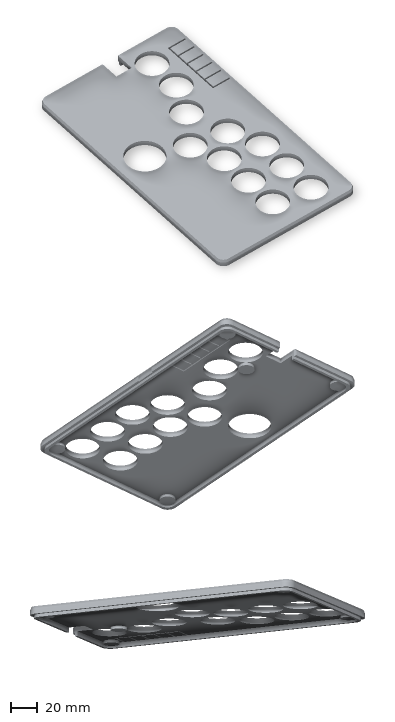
import cadquery as cq

length = 219.8
width = 128.8
height = 8.1
corner_radius = 7.0
plate_thickness = 4.5
plate_underside = height - plate_thickness

lip_height = 2.2
lip_inset = 2.2
lip_thickness = 2.2
rim_thickness = lip_inset + lip_thickness
edge_bevel_width = 0.9
edge_bevel_height = 2.2

button_diameter = 26.0
button_pitch = 29.0
thumb_diameter = 32.0
thumb_centre = (-13.8, -39.1)
left_row_start = (-86.5, 25.7)
upper_row_start = (30.8, 37.4)
lower_row_start = (25.0, 5.5)
single_buttons = [(-30.8, 14.0), (4.0, 25.7), (-1.8, -5.5)]

tab_count = 5
tab_pitch = 10.5
slot_width = 1.3
comb_left = -91.5
comb_bottom = 45.7
comb_top = 61.5

notch_depth = 17.4
notch_width = 14.5
notch_y = 3.7
notch_flare = 0.7

rear_opening_length = 15.8
rear_opening_x = -15.8

boss_diameter = 12.0
boss_bottom = 1.5
corner_boss_x = 98.9
corner_boss_y = 53.6
inner_boss_y = 12.7


def rounded_slab(inset, radius, bottom, top):
    """Rounded rectangle set in from the outer sides, between two heights."""
    return (
        cq.Workplane("XY", origin=(0, 0, bottom))
        .rect(length - 2 * inset, width - 2 * inset)
        .extrude(top - bottom)
        .edges("|Z")
        .fillet(radius)
    )


def block(x_min, x_max, y_min, y_max, bottom, top):
    """Box given by its limits along each axis."""
    return cq.Workplane("XY", origin=(x_min, y_min, bottom)).box(
        x_max - x_min, y_max - y_min, top - bottom, centered=False
    )


def row(start, count):
    """Button centres spaced evenly along X."""
    return [(start[0] + i * button_pitch, start[1]) for i in range(count)]


def shell():
    band = rounded_slab(0, corner_radius, lip_height, height)
    band = band.faces(">Z").chamfer(edge_bevel_height, edge_bevel_width)
    lip = rounded_slab(lip_inset, corner_radius, 0, lip_height)
    cavity = rounded_slab(rim_thickness, corner_radius, 0, plate_underside)
    return band.union(lip).cut(cavity)


def bosses():
    centres = [(x, y) for x in (-corner_boss_x, corner_boss_x) for y in (-corner_boss_y, corner_boss_y)]
    centres.append((left_row_start[0] + button_pitch / 2, inner_boss_y))
    return (
        cq.Workplane("XY", origin=(0, 0, boss_bottom))
        .pushPoints(centres)
        .circle(boss_diameter / 2)
        .extrude(plate_underside - boss_bottom)
    )


def button_holes():
    centres = row(left_row_start, 2) + row(upper_row_start, 3) + row(lower_row_start, 3) + single_buttons
    buttons = cq.Workplane("XY").pushPoints(centres).circle(button_diameter / 2).extrude(height)
    thumb = cq.Workplane("XY").center(*thumb_centre).circle(thumb_diameter / 2).extrude(height)
    return buttons.union(thumb)


def tab_slots():
    half = slot_width / 2
    comb_right = comb_left + tab_count * tab_pitch
    slots = block(
        comb_left - half, comb_right + half, comb_bottom - half, comb_bottom + half, plate_underside, height
    )
    for i in range(tab_count + 1):
        x = comb_left + i * tab_pitch
        slots = slots.union(block(x - half, x + half, comb_bottom, comb_top, plate_underside, height))
    return slots


def cable_notch():
    side = -length / 2
    half = notch_width / 2
    mouth_half = half + notch_flare
    outline = [
        (side, -mouth_half),
        (side + lip_inset, -half),
        (side + notch_depth, -half),
        (side + notch_depth, half),
        (side + lip_inset, half),
        (side, mouth_half),
    ]
    return cq.Workplane("XY", origin=(0, notch_y, 0)).polyline(outline).close().extrude(height)


def rear_opening():
    half = rear_opening_length / 2
    side = width / 2
    return block(rear_opening_x - half, rear_opening_x + half, side - edge_bevel_width, side, 0, height)


result = (
    shell()
    .union(bosses())
    .cut(button_holes())
    .cut(tab_slots())
    .cut(cable_notch())
    .cut(rear_opening())
)